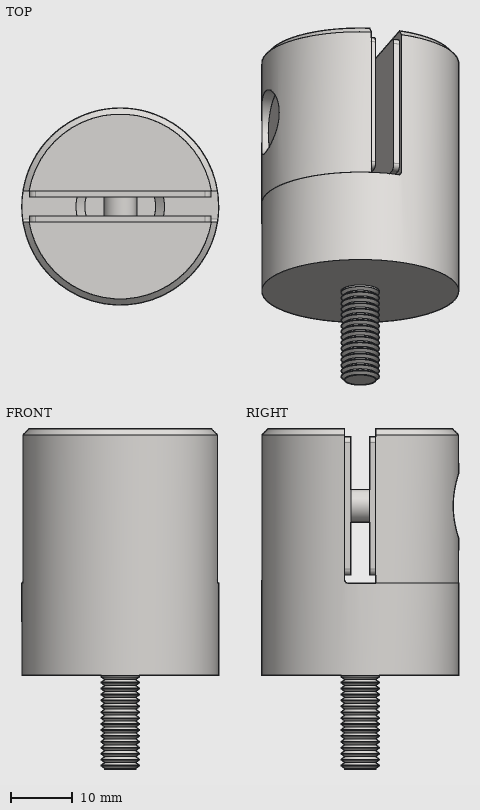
import cadquery as cq

outer_diameter = 32.0
total_height = 55.3
stud_length = 15.25
top_z = total_height - stud_length
outer_radius = outer_diameter / 2
rim_chamfer = 1.0

floor_z = 15.0
slot_width = 5.05
slot_fillet = 0.5
half_slot = slot_width / 2
jaw_height = top_z - floor_z
clamp_z = floor_z + jaw_height / 2

pad_width = 29.5
pad_height = 22.5
pad_thickness = 1.0
pad_corner_radius = 1.0

screw_diameter = 5.35
screw_head_diameter = 10.5
screw_head_height = 6.0
screw_seat_y = 8.0
screw_end_y = -9.95

countersink_diameter = 14.4
stud_head_diameter = 11.5
stud_diameter = 6.2
thread_root_diameter = 5.1
ridge_count = 16
crest_width = 0.1
first_crest_z = -0.2
last_crest_z = -14.65
thread_pitch = (first_crest_z - last_crest_z) / (ridge_count - 1)
stud_head_z = floor_z - (countersink_diameter - stud_head_diameter) / 2
stud_neck_z = floor_z - (countersink_diameter - stud_diameter) / 2


def y_cylinder(diameter, y_start, y_end):
    """Cylinder on the clamp axis between two Y positions."""
    return (
        cq.Workplane("XZ", origin=(0, y_start, clamp_z))
        .circle(diameter / 2)
        .extrude(y_start - y_end)
    )


def clamp_screw():
    shank = y_cylinder(screw_diameter, screw_end_y, screw_seat_y)
    head = y_cylinder(screw_head_diameter, screw_seat_y, screw_seat_y + screw_head_height)
    return shank.union(head)


def chamfered_cylinder():
    return cq.Workplane("XY").circle(outer_radius).extrude(top_z).faces(">Z").chamfer(rim_chamfer)


def block_above_floor(y_start, y_end):
    """Block standing on the slot floor between two Y positions, wider than the part."""
    return (
        cq.Workplane("XY", origin=(0, (y_start + y_end) / 2, floor_z))
        .box(2 * outer_diameter, y_end - y_start, total_height, centered=(True, True, False))
    )


def base():
    opening = block_above_floor(-half_slot, outer_diameter).edges("|X and <Y and <Z").fillet(slot_fillet)
    body = chamfered_cylinder().cut(opening)
    stud_hole = (
        cq.Workplane("XZ")
        .lineTo(stud_diameter / 2, 0)
        .lineTo(stud_diameter / 2, stud_neck_z)
        .lineTo(countersink_diameter / 2, floor_z)
        .lineTo(0, floor_z)
        .close()
        .revolve(360, (0, 0), (0, 1))
    )
    return body.cut(stud_hole).cut(y_cylinder(screw_diameter, screw_end_y, 0))


def clamp_jaw():
    jaw = chamfered_cylinder().intersect(block_above_floor(half_slot, outer_diameter))
    counterbore = y_cylinder(screw_head_diameter, screw_seat_y, outer_diameter)
    return jaw.cut(y_cylinder(screw_diameter, 0, outer_diameter)).cut(counterbore)


def pad(side):
    """Flat pad on the jaw face at the given side: 1 for the clamp jaw, -1 for the fixed jaw."""
    center_y = side * (half_slot - pad_thickness / 2)
    return (
        cq.Workplane("XY", origin=(0, center_y, clamp_z))
        .box(pad_width, pad_thickness, pad_height)
        .edges("|Y")
        .fillet(pad_corner_radius)
        .cut(y_cylinder(screw_diameter, -outer_radius, outer_radius))
    )


def stud():
    crest = stud_diameter / 2
    root = thread_root_diameter / 2
    profile = (
        cq.Workplane("XZ")
        .moveTo(0, stud_head_z)
        .lineTo(stud_head_diameter / 2, stud_head_z)
        .lineTo(crest, stud_neck_z)
    )
    for index in range(ridge_count):
        crest_z = first_crest_z - index * thread_pitch
        if index > 0:
            profile = profile.lineTo(crest, crest_z + crest_width / 2)
        profile = (
            profile.lineTo(crest, crest_z - crest_width / 2)
            .lineTo(root, crest_z - thread_pitch / 2)
        )
    return (
        profile.lineTo(root, -stud_length)
        .lineTo(0, -stud_length)
        .close()
        .revolve(360, (0, 0), (0, 1))
    )


pads = [pad(side) for side in (-1, 1)]
result = cq.Compound.makeCompound(
    [
        base().val(),
        clamp_jaw().val(),
        *[one_pad.val() for one_pad in pads],
        clamp_screw().val(),
        stud().val(),
    ]
)